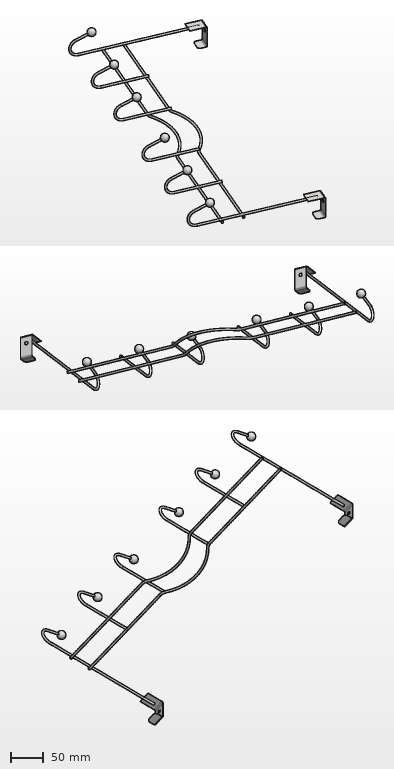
import cadquery as cq
import math


rack_length = 503.0
rack_depth = 225.0

bracket_width = 20.0
bracket_height = 38.0
sheet_thickness = 1.0
bend_inner_radius = 1.5
top_plate_depth = 29.0
lip_depth = 15.5
lip_corner_radius = 5.0
screw_hole_diameter = 5.0
screw_hole_drop = 13.5

wire_diameter = 4.0
hook_bend_radius = 14.0
hook_tip_slope = 18.5
ball_diameter = 14.0
ball_setback = 37.5
end_wire_setback = 10.0
inner_wire_setback = 130.5
end_hook_x = (rack_length - bracket_width) / 2
middle_hook_x = 57.5
inner_hook_x = (end_hook_x + middle_hook_x) / 2

rail_diameter = 4.0
rail_half_length = 244.0
rail_back_y = -132.5
rail_spacing = 35.0
arch_half_width = middle_hook_x
arch_rise = 21.5
arch_blend_radius = 15.0

wire_z = -sheet_thickness - wire_diameter / 2
rail_z = wire_z - wire_diameter / 2 - rail_diameter / 2


def make_bracket(center_x):
    """C-shaped bracket bent from sheet, with a screw hole in its back plate and a rounded lower lip."""
    left_x = center_x - bracket_width / 2
    bend_outer_radius = bend_inner_radius + sheet_thickness
    top_inside_z = -sheet_thickness
    lip_inside_z = sheet_thickness - bracket_height
    body = (
        cq.Workplane("YZ", origin=(left_x, 0, 0))
        .moveTo(-top_plate_depth, 0)
        .lineTo(-bend_outer_radius, 0)
        .radiusArc((0, -bend_outer_radius), bend_outer_radius)
        .lineTo(0, bend_outer_radius - bracket_height)
        .radiusArc((-bend_outer_radius, -bracket_height), bend_outer_radius)
        .lineTo(-lip_depth, -bracket_height)
        .lineTo(-lip_depth, lip_inside_z)
        .lineTo(-bend_outer_radius, lip_inside_z)
        .radiusArc((-sheet_thickness, lip_inside_z + bend_inner_radius), -bend_inner_radius)
        .lineTo(-sheet_thickness, top_inside_z - bend_inner_radius)
        .radiusArc((-bend_outer_radius, top_inside_z), -bend_inner_radius)
        .lineTo(-top_plate_depth, top_inside_z)
        .close()
        .extrude(bracket_width)
    )
    lip_front = cq.selectors.NearestToPointSelector((center_x, -lip_depth, -bracket_height))
    body = body.faces("#Z").faces(lip_front).edges("|Z").fillet(lip_corner_radius)
    hole = (
        cq.Workplane("XZ", origin=(center_x, 0, -screw_hole_drop))
        .circle(screw_hole_diameter / 2)
        .extrude(sheet_thickness)
    )
    return body.cut(hole)


def make_hook(center_x, start_setback):
    """Round wire that runs forward, bends up and back over itself, and ends in a ball."""
    bend_y = -rack_depth + wire_diameter / 2 + hook_bend_radius
    bend_z = wire_z + hook_bend_radius
    slope = math.radians(hook_tip_slope)
    front = (bend_y - hook_bend_radius, bend_z)
    bend_end = (bend_y - hook_bend_radius * math.sin(slope), bend_z + hook_bend_radius * math.cos(slope))
    ball_y = -rack_depth + ball_setback
    ball_z = bend_end[1] + (ball_y - bend_end[0]) * math.tan(slope)
    path = (
        cq.Workplane("YZ", origin=(center_x, 0, 0))
        .moveTo(-start_setback, wire_z)
        .lineTo(bend_y, wire_z)
        .threePointArc(front, bend_end)
        .lineTo(ball_y, ball_z)
    )
    wire = cq.Workplane("XZ", origin=(center_x, -start_setback, wire_z)).circle(wire_diameter / 2).sweep(path)
    ball = cq.Workplane("XY", origin=(center_x, ball_y, ball_z)).sphere(ball_diameter / 2)
    return wire.union(ball)


def make_rail(rail_y):
    """Round rail with an arched middle that blends into the straight ends."""
    arch_radius = (arch_half_width**2 + arch_rise**2) / (2 * arch_rise)
    arch_center_y = rail_y + arch_rise - arch_radius
    blend_center_y = rail_y + arch_blend_radius
    reach = arch_radius + arch_blend_radius
    blend_center_x = math.sqrt(reach**2 - (blend_center_y - arch_center_y) ** 2)
    turn = math.asin(blend_center_x / reach)

    blend_mid_x = blend_center_x - arch_blend_radius * math.sin(turn / 2)
    blend_mid_y = blend_center_y - arch_blend_radius * math.cos(turn / 2)
    arch_end_x = arch_radius * math.sin(turn)
    arch_end_y = arch_center_y + arch_radius * math.cos(turn)
    path = (
        cq.Workplane("XY", origin=(0, 0, rail_z))
        .moveTo(-rail_half_length, rail_y)
        .lineTo(-blend_center_x, rail_y)
        .threePointArc((-blend_mid_x, blend_mid_y), (-arch_end_x, arch_end_y))
        .threePointArc((0, rail_y + arch_rise), (arch_end_x, arch_end_y))
        .threePointArc((blend_mid_x, blend_mid_y), (blend_center_x, rail_y))
        .lineTo(rail_half_length, rail_y)
    )
    section = cq.Workplane("YZ", origin=(-rail_half_length, rail_y, rail_z)).circle(rail_diameter / 2)
    return section.sweep(path)


brackets = [make_bracket(side * end_hook_x) for side in (-1, 1)]
end_hooks = [make_hook(side * end_hook_x, end_wire_setback) for side in (-1, 1)]
inner_hooks = [
    make_hook(side * x, inner_wire_setback)
    for side in (-1, 1)
    for x in (inner_hook_x, middle_hook_x)
]
rails = [make_rail(rail_y) for rail_y in (rail_back_y, rail_back_y - rail_spacing)]

result = cq.Compound.makeCompound([body.val() for body in brackets + end_hooks + inner_hooks + rails])